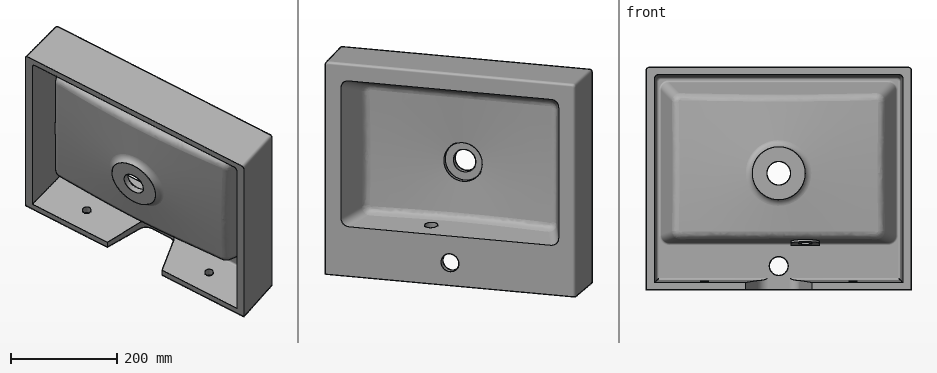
import cadquery as cq
import math

width = 500.0
height = 420.0
depth = 100.0
bottom = -height / 2
outer_draft = 2.0
outer_round = 6.0
rim_round = 5.0

side_wall = 16.0
end_wall = 14.0
pocket_draft = 4.5
pocket_top_draft = 6.0
pocket_corner = 7.0
deck_thickness = 13.0
deck_y = -deck_thickness
pocket_fillet = 4.0

shell = 12.0
bowl_ref_y = -82.0
bowl_foot_half_width = 222.5
bowl_floor_half_width = 196.5
bowl_foot_bottom = bottom + 87.5
bowl_floor_bottom = bottom + 97.0
bowl_foot_top = bottom + 392.0
bowl_floor_top = bottom + 366.0
bowl_corner = 16.0
bowl_floor_fillet = 15.0

drain_z = bottom + 220.0
drain_face_y = -103.0
drain_bore = 44.0
drain_radius = 50.0
drain_flare = 14.0
drain_foot_y = -92.0
floor_slope = 0.075

tap_diameter = 35.0
tap_z = bottom + 45.0
fixing_diameter = 16.0
fixing_x = 140.0
fixing_y = -56.0
notch_front_half = 62.5
notch_rear_half = 34.5
notch_fillet = 20.0
bottom_wall_cut = 3 * end_wall
overflow_x = 50.0
overflow_y = -42.0
overflow_pad_width = 54.0
overflow_pad_height = 4.0
overflow_bore = 25.0


def section(y, half_width, z_low, z_high):
    """Corner points of a rectangle in the plane at the given Y."""
    return [
        cq.Vector(-half_width, y, z_low),
        cq.Vector(half_width, y, z_low),
        cq.Vector(half_width, y, z_high),
        cq.Vector(-half_width, y, z_high),
    ]


def flat_face(points):
    """Planar face bounded by straight edges through the points."""
    return cq.Face.makeFromWires(cq.Wire.makePolygon(points, close=True))


def frustum(first, second):
    """Flat-sided solid between two rectangular sections."""
    near = section(*first)
    far = section(*second)
    faces = [flat_face(near), flat_face(far)]
    for i in range(len(near)):
        faces.append(flat_face([near[i - 1], near[i], far[i], far[i - 1]]))
    return cq.Workplane(obj=cq.Solid.makeSolid(cq.Shell.makeShell(faces)))


def y_cylinder(diameter, z, y_start, y_end):
    """Cylinder along Y on the centre plane X = 0."""
    start = cq.Vector(0, y_start, z)
    length = y_end - y_start
    return cq.Workplane(obj=cq.Solid.makeCylinder(diameter / 2, length, start, cq.Vector(0, 1, 0)))


def revolved_about_drain(profile):
    """Turn a closed (radius, Y) sketch about the drain axis."""
    return profile.close().revolve(360, (0, 0, 0), (0, 1, 0)).translate((0, 0, drain_z))


def floor_y(radius):
    """Underside level of the conical bowl floor."""
    return drain_foot_y + floor_slope * (radius - drain_radius - drain_flare)


def outer_block():
    """Drafted block with rounded top corners and a rounded rim."""
    block = frustum(
        (-depth, width / 2, bottom, -bottom),
        (0, width / 2 - outer_draft, bottom, -bottom - outer_draft),
    )
    block = block.edges("not(|X or |Z)").edges(">Z").fillet(outer_round)
    return block.faces(">Y").edges("not(<Z)").fillet(rim_round)


def pocket():
    """Drafted space inside the four walls, down to the deck."""
    half = width / 2 - side_wall
    end = height / 2 - end_wall
    solid = frustum(
        (-depth, half, -end, end),
        (deck_y, half - pocket_draft, pocket_draft - end, end - pocket_top_draft),
    )
    return solid.edges("not(|X or |Z)").edges(">Z").fillet(pocket_corner)


def bowl(offset):
    """Bowl form shrunk by offset, running from the conical floor up to the rim face."""
    def outline(y):
        t = (y - deck_y) / (bowl_ref_y - deck_y)

        def blend(foot, floor):
            return foot + t * (floor - foot)

        return (
            y,
            blend(bowl_foot_half_width, bowl_floor_half_width) - offset,
            blend(bowl_foot_bottom, bowl_floor_bottom) + offset,
            blend(bowl_foot_top, bowl_floor_top) - offset,
        )

    form = frustum(outline(-depth), outline(0))
    form = form.edges("not(|X or |Z)").fillet(bowl_corner)
    reach = width
    cone = revolved_about_drain(
        cq.Workplane("XY")
        .moveTo(0, floor_y(0) + offset)
        .lineTo(reach, floor_y(reach) + offset)
        .lineTo(reach, depth)
        .lineTo(0, depth)
    )
    form = form.intersect(cone)
    return form.faces("%CONE").edges().fillet(bowl_floor_fillet)


def hollow():
    """Pocket around the bowl, rounded where its floor meets the walls and the bowl."""
    space = pocket().cut(bowl(0))
    return space.faces(">Y").edges().fillet(pocket_fillet)


def drain_boss():
    """Flat-faced boss that flares into the bowl floor."""
    foot_radius = drain_radius + drain_flare
    rise = drain_foot_y - drain_face_y
    arc_radius = (drain_flare**2 + rise**2) / (2 * rise)
    half_turn = math.atan2(rise, drain_flare)
    arc_middle = (
        foot_radius - arc_radius * math.sin(half_turn),
        drain_foot_y - arc_radius * (1 - math.cos(half_turn)),
    )
    inside_y = drain_foot_y + shell / 2
    return revolved_about_drain(
        cq.Workplane("XY")
        .moveTo(0, drain_face_y)
        .lineTo(drain_radius, drain_face_y)
        .threePointArc(arc_middle, (foot_radius, drain_foot_y))
        .lineTo(foot_radius, inside_y)
        .lineTo(0, inside_y)
    )


def drain_recess():
    """Seat sunk into the bowl floor so the boss keeps the shell thickness."""
    return y_cylinder(2 * (drain_radius - shell), drain_z, drain_face_y + shell, deck_y)


def notch():
    """Opening through the bottom wall, wider at the front."""
    plan = [
        (-notch_front_half, -depth),
        (notch_front_half, -depth),
        (notch_rear_half, deck_y),
        (-notch_rear_half, deck_y),
    ]
    body = cq.Workplane("XY").workplane(offset=bottom).polyline(plan).close().extrude(bottom_wall_cut)
    return body.edges("|Z").edges(">Y").fillet(notch_fillet)


def overflow_plane():
    """Plane on the bowl's bottom wall at the overflow; local y points away from the deck."""
    slope = (bowl_floor_bottom - bowl_foot_bottom) / (bowl_ref_y - deck_y)
    wall_z = bowl_foot_bottom + slope * (overflow_y - deck_y)
    return cq.Plane(origin=(overflow_x, overflow_y, wall_z), xDir=(1, 0, 0), normal=(0, slope, -1))


def overflow_pad():
    """Round-topped pad standing on the bottom wall of the bowl and running into the deck."""
    radius = overflow_pad_width / 2
    foot = overflow_y - deck_y
    return (
        cq.Workplane(overflow_plane())
        .workplane(offset=-shell / 2)
        .moveTo(-radius, foot)
        .lineTo(radius, foot)
        .lineTo(radius, 0)
        .threePointArc((0, radius), (-radius, 0))
        .close()
        .extrude(shell / 2 + overflow_pad_height)
    )


def overflow_hole():
    return cq.Workplane(overflow_plane()).circle(overflow_bore / 2).extrude(2 * shell, both=True)


def fixing_hole(x):
    start = cq.Vector(x, fixing_y, bottom)
    radius = fixing_diameter / 2
    return cq.Workplane(obj=cq.Solid.makeCylinder(radius, bottom_wall_cut, start, cq.Vector(0, 0, 1)))


result = outer_block().cut(hollow())
result = result.union(drain_boss())
result = result.union(overflow_pad())
result = result.cut(bowl(shell))
result = result.cut(drain_recess())
result = result.cut(y_cylinder(drain_bore, drain_z, drain_face_y, 0))
result = result.cut(y_cylinder(tap_diameter, tap_z, deck_y, 0))
result = result.cut(overflow_hole())
result = result.cut(notch())
for side in (-1, 1):
    result = result.cut(fixing_hole(side * fixing_x))
result = result.solids()